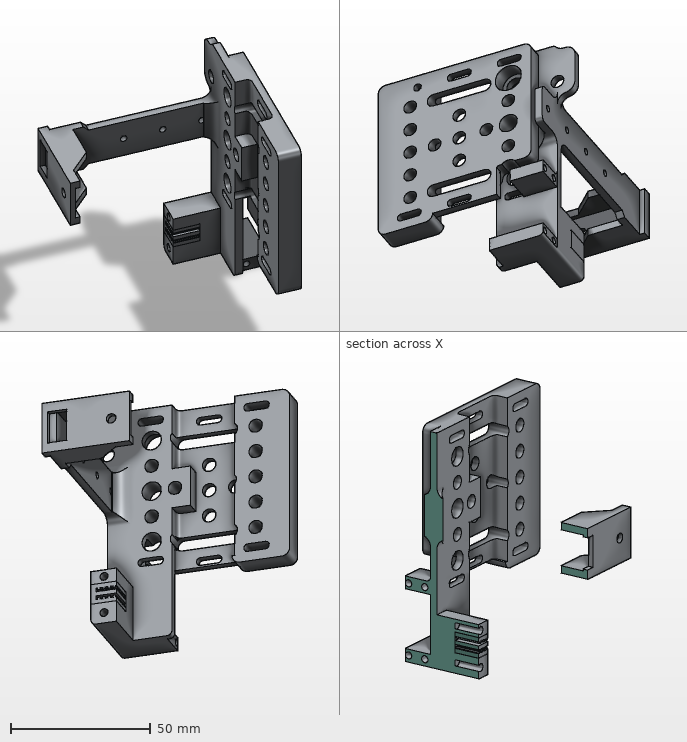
import cadquery as cq
import math


wall = 3.0
pad_depth = 8.9
edge_radius = 2.0
corner_radius = 3.0
lobe_radius = 4.0
top = 90.5
row_z = 57.7

plate_right = 24.6
pad_left, pad_right = 7.6, 69.4
left_pad_bottom, right_pad_bottom = 40.4, 24.9
channel_right = 48.5
channel_floor = 6.0
panel_left, panel_bottom = 21.5, 27.9
nub_left = 22.1
right_pad_foot_left = 47.4
tab_right = 31.6
tab_height = 15.4

lobe_left = -7.1
lobe_top = 88.4
lobe_lower_center_z = 72.5
lobe_hole_z = 74.4
lobe_step_start = -2.4

row_pitch = 10.0
column_pitch = 19.8
column_x = 36.65
mount_hole = 5.1
large_hole = 7.2
large_hole_recess = 10.5
channel_hole_x = 46.6
tab_hole_x = 25.7
long_slot_length = 25.6
long_slot_x = 36.7
short_slot_length = 9.6
short_slot_width = 3.0
short_slot_pitch = 20.2
short_slot_offset_z = 27.6
blind_slot_depth = 6.0

arm_back, arm_front = 14.9, -65.7
arm_height = 15.6
arm_top_flare = 4.0
arm_side_flare = 6.0
arm_hole = 2.4
arm_hole_first_y = 10.4
arm_hole_pitch = 15.0
arm_hole_count = 4

foot_height = 19.55
foot_left, foot_right = -2.0, 31.4
foot_back = -62.0
cavity_front = arm_front + 2.0
gusset_back = -54.1
gusset_corner_x = 16.8
gusset_end_x = 24.8
shoulder_back = -50.1
window_left, window_right = 0.3, 7.5
window_height = 12.2
foot_hole = 3.6
foot_hole_x = 24.4

lug_left = 0.2
lug_back = 13.9
lower_lug_right, lower_lug_top = 21.9, 5.2
upper_lug_right, upper_lug_bottom, upper_lug_top = 13.5, 27.9, 32.9
upper_lug_fillet = 1.8
lug_hole = 2.5
lug_hole_ys = (5.4, 12.5)
lower_lug_hole_z, upper_lug_hole_z = 2.7, 30.3

block_width = 9.8
block_front = -18.2
block_top = 20.9
block_hole_x = 5.1
block_hole = 3.0
block_hole_zs = (4.1, 18.3)
insert_back = -8.0
insert_bottom, insert_top = 8.05, 15.75
belt_left = 2.0
belt_offset = 0.8
belt_thickness = 0.7
tooth_height = 0.6
tooth_width = 1.0
tooth_pitch = 2.0
tooth_count = 5


def box(x0, x1, y0, y1, z0, z1):
    """A block between two opposite corners."""
    return cq.Workplane("XY").box(x1 - x0, y1 - y0, z1 - z0, centered=False).translate((x0, y0, z0))


def front_plane(y):
    """Sketch plane facing -Y, with local axes X and Z."""
    return cq.Workplane("XZ", origin=(0, y, 0))


def hole_y(x, z, diameter, y0=0.0, y1=pad_depth):
    """A round cutter along Y."""
    return front_plane(y0).center(x, z).circle(diameter / 2).extrude(y0 - y1)


def hole_x(y, z, diameter, x0, x1):
    """A round cutter along X."""
    return cq.Workplane("YZ", origin=(x0, 0, 0)).center(y, z).circle(diameter / 2).extrude(x1 - x0)


def slot_y(x, z, length, width, depth=pad_depth):
    """A round-ended cutter along Y, long side along X."""
    return front_plane(0).center(x, z).slot2D(length, width).extrude(-depth)


def on_circle(center, radius, degrees):
    angle = math.radians(degrees)
    return (center[0] + radius * math.cos(angle), center[1] + radius * math.sin(angle))


def arc_to(sketch, center, radius, start, end):
    """Continue a sketch along a circle between two angles in degrees."""
    middle = on_circle(center, radius, (start + end) / 2)
    return sketch.threePointArc(middle, on_circle(center, radius, end))


def make_plate():
    """Thin front plate with the lobe, which blends into the straight edges by tangent arcs."""
    lower_center = (lobe_left + lobe_radius, lobe_lower_center_z)
    blend_dx = -lobe_radius - lower_center[0]
    blend_dz = -math.sqrt((2 * lobe_radius) ** 2 - blend_dx ** 2)
    blend_center = (-lobe_radius, lower_center[1] + blend_dz)
    blend_angle = math.degrees(math.atan2(-blend_dz, -blend_dx))

    upper_center = (lower_center[0], lobe_top - lobe_radius)
    hollow_center = (lobe_step_start, lobe_top + lobe_radius)
    step_dz = top - edge_radius - hollow_center[1]
    step_dx = math.sqrt((lobe_radius + edge_radius) ** 2 - step_dz ** 2)
    round_center = (lobe_step_start + step_dx, top - edge_radius)
    step_angle = math.degrees(math.atan2(step_dz, step_dx))

    outline = front_plane(0).moveTo(0, 0).lineTo(0, blend_center[1])
    outline = arc_to(outline, blend_center, lobe_radius, 0, blend_angle)
    outline = arc_to(outline, lower_center, lobe_radius, blend_angle - 180, -180)
    outline = outline.lineTo(lobe_left, upper_center[1])
    outline = arc_to(outline, upper_center, lobe_radius, 180, 90)
    outline = outline.lineTo(lobe_step_start, lobe_top)
    outline = arc_to(outline, hollow_center, lobe_radius, -90, step_angle)
    outline = arc_to(outline, round_center, edge_radius, step_angle + 180, 90)
    return outline.lineTo(plate_right, top).lineTo(plate_right, 0).close().extrude(-wall)


def make_nub():
    """Nub under the left pad: a hollow fillet from the pad's bottom runs into a rounded corner."""
    corner = plate_right - nub_left
    bend_z = left_pad_bottom - edge_radius
    outline = front_plane(wall).moveTo(nub_left - edge_radius, left_pad_bottom)
    outline = arc_to(outline, (nub_left - edge_radius, bend_z), edge_radius, 90, 0)
    outline = arc_to(outline, (plate_right, bend_z), corner, 180, 270)
    return outline.lineTo(plate_right, left_pad_bottom).close().extrude(wall - pad_depth)


def make_pads():
    """Left and right pads joined by a thin rear panel, with an open channel between them."""
    left_pad = box(pad_left, plate_right, 0, pad_depth, left_pad_bottom, top)
    left_pad = left_pad.edges("|Y and <X").fillet(corner_radius)
    left_pad = left_pad.intersect(box(pad_left, plate_right, wall, pad_depth, left_pad_bottom, top))
    right_pad = box(right_pad_foot_left, pad_right, 0, pad_depth, right_pad_bottom, top)
    right_pad = right_pad.edges("|Y and (>X or <Z)").fillet(corner_radius)
    panel = box(panel_left, plate_right, channel_floor, pad_depth, panel_bottom, top)
    middle = box(plate_right, channel_right, 0, pad_depth, panel_bottom, top)
    channel = box(plate_right, channel_right, 0, channel_floor, panel_bottom, top)
    channel = channel.edges("|Z and >Y").fillet(edge_radius)
    opening = box(plate_right, plate_right + edge_radius, 0, channel_floor, panel_bottom, left_pad_bottom)
    middle = middle.cut(channel).cut(opening)
    right_pad = right_pad.cut(channel)
    return panel.union(middle).union(left_pad).union(make_nub()).union(right_pad)


def make_tab():
    """Block that stands in the channel beside the plate."""
    half = tab_height / 2
    return box(plate_right, tab_right, 0, pad_depth, row_z - half, row_z + half)


def cut_mounting_holes(body):
    left_x = column_x - column_pitch
    right_x = column_x + column_pitch
    cutters = [hole_y(0, lobe_hole_z, mount_hole)]
    for row in range(-2, 3):
        z = row_z + row * row_pitch
        cutters.append(hole_y(right_x, z, mount_hole))
        cutters.append(hole_y(left_x, z, mount_hole if row % 2 else large_hole))
        if abs(row) < 2:
            cutters.append(hole_y(column_x, z, mount_hole))
        else:
            cutters.append(slot_y(long_slot_x, z, long_slot_length, mount_hole))
    cutters.append(hole_y(left_x, row_z + 2 * row_pitch, large_hole_recess, wall))
    cutters.append(hole_y(channel_hole_x, row_z, mount_hole))
    cutters.append(hole_y(tab_hole_x, row_z, mount_hole))
    for cutter in cutters:
        body = body.cut(cutter)
    return body


def cut_short_slots(body):
    """Two rows of three slots; the upper right one is blind with a round hole at its left end."""
    for side in (-1, 1):
        z = row_z + side * short_slot_offset_z
        for column in (-1, 0, 1):
            x = column_x + column * short_slot_pitch
            blind = side == 1 and column == 1
            depth = blind_slot_depth if blind else pad_depth
            body = body.cut(slot_y(x, z, short_slot_length, short_slot_width, depth))
            if blind:
                end_x = x - (short_slot_length - short_slot_width) / 2
                body = body.cut(hole_y(end_x, z, short_slot_width, blind_slot_depth))
    return body


def make_arm():
    """Straight arm with rounded back corners and a shoulder that widens to the foot."""
    half = arm_height / 2
    foot_half = foot_height / 2
    bar = box(0, wall, shoulder_back, arm_back, row_z - half, row_z + half)
    bar = bar.edges("|X and >Y").fillet(edge_radius)
    slope_back = shoulder_back + foot_half - half
    shoulder = (
        cq.Workplane("YZ")
        .polyline([
            (slope_back, row_z + half),
            (shoulder_back, row_z + foot_half),
            (arm_front, row_z + foot_half),
            (arm_front, row_z - foot_half),
            (shoulder_back, row_z - foot_half),
            (slope_back, row_z - half),
        ])
        .close()
        .extrude(wall)
    )
    return bar.union(shoulder)


def flared_end(sketch, surface, radius):
    """Profile in (Y, distance): hollow fillets from both plate faces to an arm surface."""
    front_arc = on_circle((-radius, surface + radius), radius, -45)
    back_arc = on_circle((wall + radius, surface + radius), radius, -135)
    return (
        sketch.moveTo(-radius, 0)
        .lineTo(-radius, surface)
        .threePointArc(front_arc, (0, surface + radius))
        .lineTo(wall, surface + radius)
        .threePointArc(back_arc, (wall + radius, surface))
        .lineTo(wall + radius, 0)
        .close()
    )


def make_arm_flare():
    """Fillets between arm and plate, meeting in a mitre along the arm's edges."""
    half = arm_height / 2
    reach = wall + arm_side_flare
    upper = flared_end(cq.Workplane("YZ"), half, arm_top_flare).extrude(reach)
    heights = upper.union(upper.mirror("XY")).translate((0, 0, row_z))
    plan = cq.Workplane(cq.Plane(origin=(0, 0, top), xDir=(0, 1, 0), normal=(0, 0, -1)))
    widths = flared_end(plan, wall, arm_side_flare).extrude(top)
    return heights.intersect(widths)


def cut_arm_holes(body):
    for index in range(arm_hole_count):
        y = arm_hole_first_y - index * arm_hole_pitch
        body = body.cut(hole_x(y, row_z, arm_hole, 0, wall))
    return body


def make_foot():
    """Foot plate stiffened by two gusset walls, with a window and a hole through its face."""
    half = foot_height / 2
    face = box(foot_left, foot_right, arm_front, foot_back, row_z - half, row_z + half)
    gusset = (
        cq.Workplane("XY", origin=(0, 0, row_z - half))
        .polyline([
            (0, foot_back),
            (0, gusset_back),
            (gusset_corner_x, gusset_back),
            (gusset_end_x, foot_back),
        ])
        .close()
        .extrude(foot_height)
    )
    foot = face.union(gusset)
    cavity_half = half - wall
    cavity = box(wall, foot_right, cavity_front, gusset_back, row_z - cavity_half, row_z + cavity_half)
    return foot.cut(cavity)


def cut_foot_openings(body):
    half = window_height / 2
    body = body.cut(box(window_left, window_right, arm_front, cavity_front, row_z - half, row_z + half))
    return body.cut(hole_y(foot_hole_x, row_z, foot_hole, arm_front, cavity_front))


def make_lugs():
    """Two drilled lugs behind the plate, the upper one filleted into it."""
    lower = box(lug_left, lower_lug_right, wall, lug_back, 0, lower_lug_top)
    upper = box(lug_left, upper_lug_right, wall, lug_back, upper_lug_bottom, upper_lug_top)
    fillet_top = upper_lug_top + upper_lug_fillet
    fillet_back = wall + upper_lug_fillet
    fillet_middle = on_circle((fillet_back, fillet_top), upper_lug_fillet, -135)
    fillet = (
        cq.Workplane("YZ", origin=(lug_left, 0, 0))
        .moveTo(wall, upper_lug_top)
        .lineTo(wall, fillet_top)
        .threePointArc(fillet_middle, (fillet_back, upper_lug_top))
        .close()
        .extrude(upper_lug_right - lug_left)
    )
    lugs = lower.union(upper).union(fillet)
    for y in lug_hole_ys:
        lugs = lugs.cut(hole_x(y, lower_lug_hole_z, lug_hole, lug_left, lower_lug_right))
        lugs = lugs.cut(hole_x(y, upper_lug_hole_z, lug_hole, lug_left, upper_lug_right))
    return lugs


def insert_envelope():
    return box(0, block_width, block_front, insert_back, insert_bottom, insert_top)


def make_belt_block():
    """Block on the plate with a pocket for the insert and two blind holes."""
    block = box(0, block_width, block_front, 0, 0, block_top).cut(insert_envelope())
    for z in block_hole_zs:
        block = block.cut(hole_y(block_hole_x, z, block_hole, block_front, insert_back))
    return block


def round_bottom_corners(body):
    """Trim the lower corners of plate, block and lower lug to one common radius."""
    blank = box(0, plate_right, block_front, lug_back, 0, 2 * edge_radius)
    rounded = blank.edges("|Y and <Z").fillet(edge_radius)
    return body.cut(blank.cut(rounded))


def make_bracket():
    bracket = make_plate().union(make_pads()).union(make_tab())
    bracket = bracket.union(make_arm()).union(make_arm_flare()).union(make_foot())
    bracket = bracket.union(make_belt_block())
    bracket = cut_mounting_holes(bracket)
    bracket = cut_short_slots(bracket)
    bracket = bracket.union(make_lugs())
    bracket = cut_arm_holes(bracket)
    bracket = cut_foot_openings(bracket)
    return round_bottom_corners(bracket)


def make_belt_insert():
    """Insert with two belt slots, their teeth facing away from its middle height."""
    middle_z = (insert_bottom + insert_top) / 2
    slot_outer = belt_offset + belt_thickness
    slot = box(belt_left, block_width, block_front, insert_back, belt_offset, slot_outer)
    for index in range(tooth_count):
        center = belt_left + index * tooth_pitch
        left = max(belt_left, center - tooth_width / 2)
        right = min(block_width, center + tooth_width / 2)
        slot = slot.union(box(left, right, block_front, insert_back, slot_outer, slot_outer + tooth_height))
    upper_slot = slot.translate((0, 0, middle_z))
    lower_slot = slot.mirror("XY").translate((0, 0, middle_z))
    return insert_envelope().cut(upper_slot).cut(lower_slot)


bracket = make_bracket()
belt_insert = make_belt_insert()

result = cq.Compound.makeCompound([bracket.val(), belt_insert.val()])